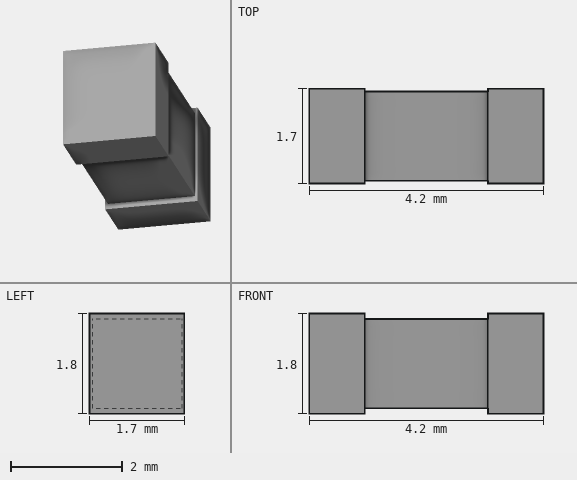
import cadquery as cq

length = 4.2
body_side = 1.6
cap_length = 1.0
side_step = 0.05
top_step = 0.1

body_length = length - 2 * cap_length
cap_width = body_side + 2 * side_step
cap_height = body_side + 2 * top_step


def make_body():
    """Square bar that fills the space between the two caps."""
    return cq.Workplane("XY").box(body_length, body_side, body_side)


def make_end_cap(side):
    """Block on one end of the body; side is -1 or +1 along X."""
    center_x = side * (length - cap_length) / 2
    return cq.Workplane("XY").box(cap_length, cap_width, cap_height).translate((center_x, 0, 0))


body = make_body()
end_caps = [make_end_cap(side) for side in (-1, 1)]

result = cq.Compound.makeCompound([body.val(), *[cap.val() for cap in end_caps]])